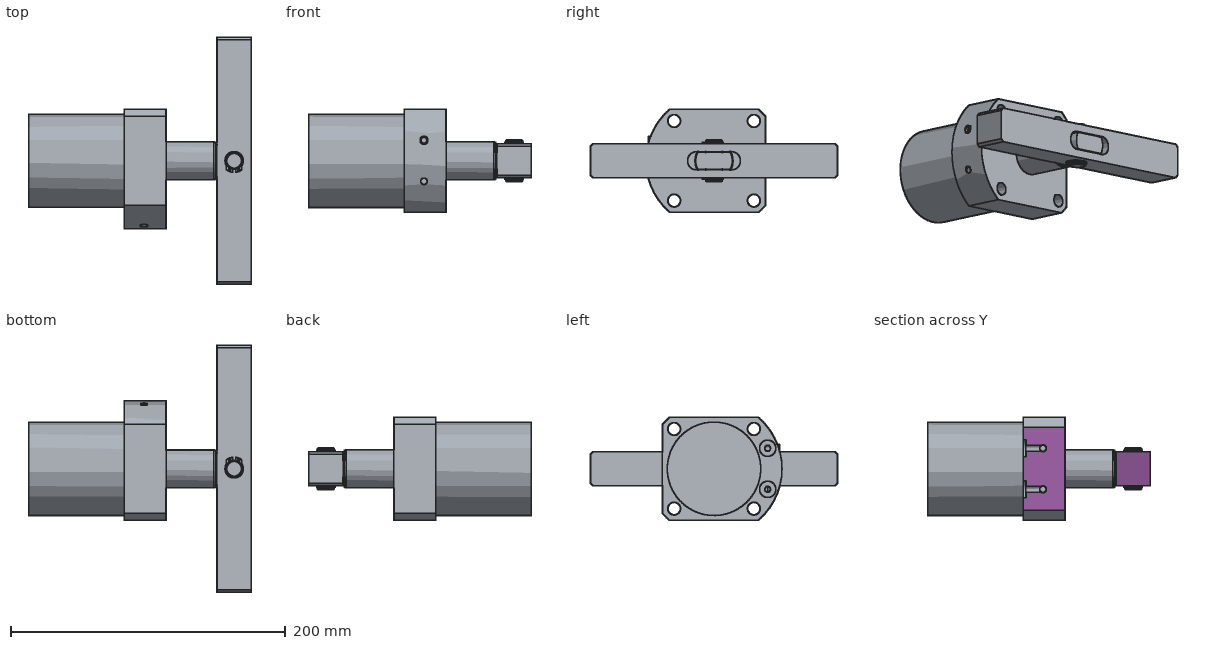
import cadquery as cq
import math


total_length = 162.0
barrel_length = 69.5
flange_thickness = 30.6
flange_front = barrel_length + flange_thickness

barrel_diameter = 68.0
flange_size = 75.0
flange_arc_radius = 49.5
flange_corner_chamfer = 5.0
bolt_hole_diameter = 9.0
bolt_offset = 29.0

port_y = -39.0
port_z = 15.0
port_diameter = 4.1
port_recess_diameter = 11.9
port_recess_depth = 2.0
cross_bore_depth = 14.4
cross_bore_x = barrel_length + cross_bore_depth
cross_bore_end_y = -36.4

screw_radius = 2.9
screw_outer_y = -47.9
screw_inner_y = -41.5
screw_socket_radius = 2.2
screw_socket_depth = 2.7
screw_tip_chamfer = 0.4

plug_radius = 2.3
plug_outer_y = -46.3
plug_inner_y = port_y

arm_length = 180.0
arm_width = 25.0
arm_chamfer = 2.0
arm_rear = total_length - arm_width
slot_height = 13.3
slot_width = 38.5

rod_radius = 13.9
rod_end_radius = 13.3
rod_taper_length = 1.5
rod_to_arm_gap = 0.9
rod_shoulder = arm_rear - rod_to_arm_gap
tongue_thickness = 12.2

pin_x = total_length - arm_width / 2
pin_radius = 6.1
pin_length = 30.5
pin_chamfer = 0.7

ring_thickness = 0.9
ring_inner_radius = 5.8
ring_outer_radius = 6.7
lug_outer_radius = 8.5
lug_half_width = 5.5
ring_gap = 2.2
lug_hole_diameter = 1.5
lug_hole_x = 3.2
lug_hole_y = -6.5
ring_bases = (arm_width / 2, -arm_width / 2 - ring_thickness)


def cylinder_along_x(radius, x_start, x_end, y=0.0, z=0.0):
    return cq.Workplane("YZ", origin=(x_start, y, z)).circle(radius).extrude(x_end - x_start)


def cylinder_along_y(radius, y_start, y_end, x, z):
    return cq.Workplane("XZ", origin=(x, y_start, z)).circle(radius).extrude(y_start - y_end)


def make_flange():
    half = flange_size / 2
    arc_start_y = -math.sqrt(flange_arc_radius**2 - half**2)
    return (
        cq.Workplane("YZ", origin=(barrel_length, 0, 0))
        .moveTo(arc_start_y, half)
        .lineTo(half - flange_corner_chamfer, half)
        .lineTo(half, half - flange_corner_chamfer)
        .lineTo(half, flange_corner_chamfer - half)
        .lineTo(half - flange_corner_chamfer, -half)
        .lineTo(arc_start_y, -half)
        .threePointArc((-flange_arc_radius, 0), (arc_start_y, half))
        .close()
        .extrude(flange_thickness)
    )


def make_housing():
    housing = cylinder_along_x(barrel_diameter / 2, 0, barrel_length).union(make_flange())

    bolt_holes = (
        cq.Workplane("YZ", origin=(barrel_length, 0, 0))
        .rect(2 * bolt_offset, 2 * bolt_offset, forConstruction=True)
        .vertices()
        .circle(bolt_hole_diameter / 2)
        .extrude(flange_thickness)
    )
    housing = housing.cut(bolt_holes)

    for z, seat_radius, seat_inner_y in (
        (port_z, screw_radius, screw_inner_y),
        (-port_z, plug_radius, plug_inner_y),
    ):
        recess_floor = barrel_length + port_recess_depth
        recess = cylinder_along_x(port_recess_diameter / 2, barrel_length, recess_floor, port_y, z)
        port = cylinder_along_x(port_diameter / 2, barrel_length, cross_bore_x, port_y, z)
        bore = cylinder_along_y(plug_radius, cross_bore_end_y, -flange_arc_radius, cross_bore_x, z)
        seat = cylinder_along_y(seat_radius, seat_inner_y, -flange_arc_radius, cross_bore_x, z)
        housing = housing.cut(recess).cut(port).cut(bore).cut(seat)
    return housing


def make_screw():
    body = cylinder_along_y(screw_radius, screw_inner_y, screw_outer_y, cross_bore_x, port_z)
    body = body.faces("<Y").chamfer(screw_tip_chamfer)
    socket_floor_y = screw_outer_y + screw_socket_depth
    socket = cylinder_along_y(screw_socket_radius, socket_floor_y, screw_outer_y, cross_bore_x, port_z)
    return body.cut(socket)


def make_plug():
    return cylinder_along_y(plug_radius, plug_inner_y, plug_outer_y, cross_bore_x, -port_z)


def pin_cylinder(height):
    return cq.Workplane("XY", origin=(pin_x, 0, -height / 2)).circle(pin_radius).extrude(height)


def make_rod():
    shaft = (
        cq.Workplane("XY")
        .moveTo(flange_front, 0)
        .lineTo(flange_front, rod_radius)
        .lineTo(rod_shoulder - rod_taper_length, rod_radius)
        .lineTo(rod_shoulder, rod_end_radius)
        .lineTo(rod_shoulder, 0)
        .close()
        .revolve(360, (0, 0, 0), (1, 0, 0))
    )
    tongue_length = total_length - rod_shoulder
    flats = cq.Workplane("XY").box(
        tongue_length, 2 * rod_end_radius, tongue_thickness, centered=(False, True, True)
    ).translate((rod_shoulder, 0, 0))
    tongue = cylinder_along_x(rod_end_radius, rod_shoulder, total_length).intersect(flats)
    return shaft.union(tongue).cut(pin_cylinder(tongue_thickness))


def make_arm():
    bar = (
        cq.Workplane("XY", origin=(pin_x, 0, 0))
        .box(arm_width, arm_length, arm_width)
        .faces("<Y or >Y")
        .edges("|X")
        .chamfer(arm_chamfer)
    )
    slot = (
        cq.Workplane("YZ", origin=(arm_rear, 0, 0))
        .slot2D(slot_width, slot_height)
        .extrude(arm_width)
    )
    return bar.cut(slot).cut(pin_cylinder(arm_width))


def make_pin():
    pin = pin_cylinder(pin_length).faces("<Z or >Z").chamfer(pin_chamfer)
    for ring_base in ring_bases:
        groove = (
            cq.Workplane("XY", origin=(pin_x, 0, ring_base))
            .circle(pin_radius)
            .circle(ring_inner_radius)
            .extrude(ring_thickness)
        )
        pin = pin.cut(groove)
    return pin


def make_ring(base_z):
    def plane(y=0.0):
        return cq.Workplane("XY", origin=(pin_x, y, base_z))

    band = plane().circle(ring_outer_radius).extrude(ring_thickness)

    lug_area = plane(-lug_outer_radius / 2).rect(2 * lug_half_width, lug_outer_radius)
    lug_disc = plane().circle(lug_outer_radius).extrude(ring_thickness)
    lugs = lug_disc.intersect(lug_area.extrude(ring_thickness))
    lug_holes = (
        plane()
        .pushPoints([(-lug_hole_x, lug_hole_y), (lug_hole_x, lug_hole_y)])
        .circle(lug_hole_diameter / 2)
        .extrude(ring_thickness)
    )
    opening = plane(-lug_outer_radius / 2).rect(ring_gap, lug_outer_radius).extrude(ring_thickness)
    inside = plane().circle(ring_inner_radius).extrude(ring_thickness)
    return band.union(lugs).cut(inside).cut(opening).cut(lug_holes)


housing = make_housing()
screw = make_screw()
plug = make_plug()
rod = make_rod()
arm = make_arm()
pin = make_pin()
rings = [make_ring(base_z) for base_z in ring_bases]

result = cq.Compound.makeCompound(
    [housing.val(), screw.val(), plug.val(), rod.val(), arm.val(), pin.val()]
    + [ring.val() for ring in rings]
)